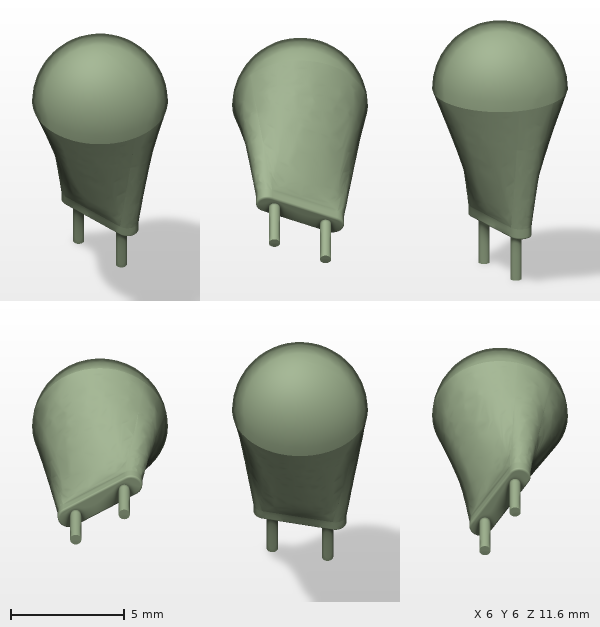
import cadquery as cq
import math

total_height = 11.6
dome_diameter = 6.0
pin_diameter = 0.5
pin_spacing = 2.5
pin_length = 2.12
base_length = 4.2
base_width = 1.0
base_height = 0.5
base_edge_fillet = 0.09

dome_radius = dome_diameter / 2
dome_center_z = total_height - dome_radius
base_top_z = pin_length + base_height
base_end_radius = base_width / 2
base_half_flat = base_length / 2 - base_end_radius


def make_base():
    """Slot-shaped foot with a rounded lower rim."""
    foot = cq.Workplane("XY").workplane(offset=pin_length).slot2D(base_length, base_width).extrude(base_height)
    return foot.faces("<Z").edges().fillet(base_edge_fillet)


def make_body():
    """Straight-sided transition from the slot-shaped foot to the dome circle."""
    split_angle = math.atan2(base_end_radius, base_half_flat)
    split_x = dome_radius * math.cos(split_angle)
    split_y = dome_radius * math.sin(split_angle)
    return (
        cq.Workplane("XY", origin=(0, 0, base_top_z))
        .moveTo(-base_half_flat, -base_end_radius)
        .lineTo(base_half_flat, -base_end_radius)
        .threePointArc((base_length / 2, 0), (base_half_flat, base_end_radius))
        .lineTo(-base_half_flat, base_end_radius)
        .threePointArc((-base_length / 2, 0), (-base_half_flat, -base_end_radius))
        .close()
        .workplane(offset=dome_center_z - base_top_z)
        .moveTo(-split_x, -split_y)
        .threePointArc((0, -dome_radius), (split_x, -split_y))
        .threePointArc((dome_radius, 0), (split_x, split_y))
        .threePointArc((0, dome_radius), (-split_x, split_y))
        .threePointArc((-dome_radius, 0), (-split_x, -split_y))
        .close()
        .loft(ruled=True, combine=True)
    )


def make_dome():
    """Upper hemisphere."""
    return (
        cq.Workplane("XZ", origin=(0, 0, dome_center_z))
        .lineTo(dome_radius, 0)
        .radiusArc((0, dome_radius), -dome_radius)
        .close()
        .revolve(360, (0, 0, 0), (0, 1, 0))
    )


def make_pins():
    """Two round leads ending at the underside of the foot."""
    return (
        cq.Workplane("XY")
        .pushPoints([(-pin_spacing / 2, 0), (pin_spacing / 2, 0)])
        .circle(pin_diameter / 2)
        .extrude(pin_length)
    )


result = make_base().union(make_body()).union(make_dome()).union(make_pins())